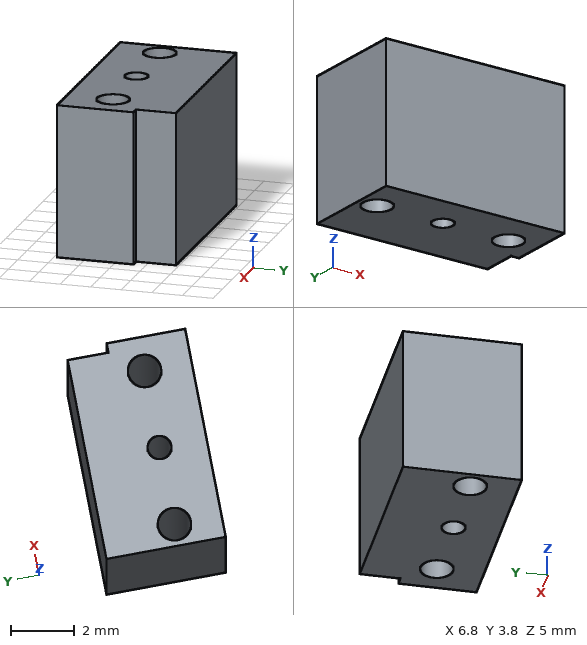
import cadquery as cq

length = 6.8
depth = 3.8
height = 5.0

notch_length = 0.3
notch_depth = 1.3

hole_row_y = 1.5
middle_hole_x = 3.2
side_hole_spacing = 2.5
middle_hole_diameter = 0.75
side_hole_diameter = 1.05

block = cq.Workplane("XY").box(length, depth, height, centered=False)

notch = (
    cq.Workplane("XY")
    .box(notch_length, notch_depth, height, centered=False)
    .translate((length - notch_length, depth - notch_depth, 0))
)


def through_hole(x, diameter):
    """Vertical cylinder on the hole row, as tall as the block."""
    return cq.Workplane("XY").center(x, hole_row_y).circle(diameter / 2).extrude(height)


result = block.cut(notch).cut(through_hole(middle_hole_x, middle_hole_diameter))
for side in (-1, 1):
    side_hole_x = middle_hole_x + side * side_hole_spacing
    result = result.cut(through_hole(side_hole_x, side_hole_diameter))